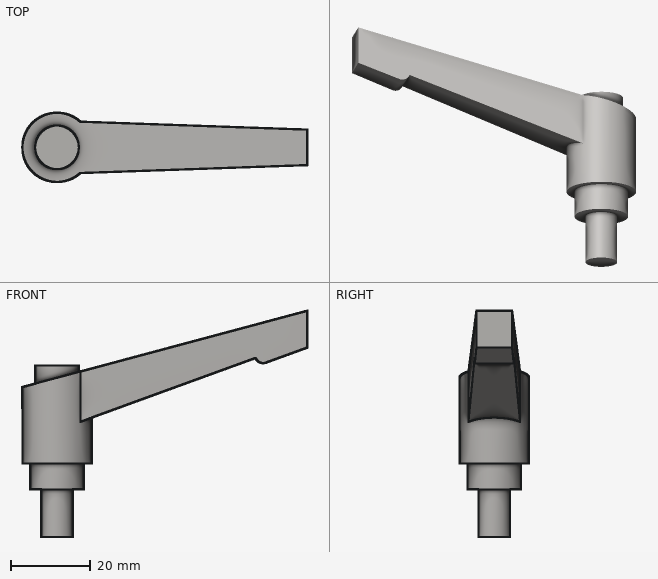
import cadquery as cq
import math

stud_diameter = 8.0
stud_length = 12.0
collar_diameter = 13.5
collar_height = 6.5
hub_diameter = 17.5
button_diameter = 11.0
button_top = 43.2

tip_reach = 63.0
total_height = 57.0
top_angle = math.radians(15)
underside_angle = math.radians(20)
root_half_width = 6.5
tip_half_width = 4.5
root_underside = 29.0

lip_start = 50.0
lip_depth = 2.0

hub_radius = hub_diameter / 2
hub_base = stud_length + collar_height
root_reach = math.sqrt(hub_radius**2 - root_half_width**2)


def top_height(x):
    """Height of the sloping top face shared by the hub and the arm."""
    return total_height - (tip_reach - x) * math.tan(top_angle)


def underside_height(x):
    """Height of the arm's underside ahead of the lip."""
    return root_underside + (x - root_reach) * math.tan(underside_angle)


def disc(diameter, bottom, top):
    """Vertical cylinder on the Z axis."""
    return cq.Workplane("XY").workplane(offset=bottom).circle(diameter / 2).extrude(top - bottom)


def make_hub():
    """Hub cylinder cut off by the sloping top face."""
    below_top = (
        cq.Workplane("XZ")
        .moveTo(-hub_radius, hub_base)
        .lineTo(hub_radius, hub_base)
        .lineTo(hub_radius, top_height(hub_radius))
        .lineTo(-hub_radius, top_height(-hub_radius))
        .close()
        .extrude(hub_radius, both=True)
    )
    return disc(hub_diameter, hub_base, total_height).intersect(below_top)


def make_arm():
    """Arm whose side profile is trimmed by a plan that narrows to the tip."""
    slope_x = math.cos(underside_angle)
    slope_z = math.sin(underside_angle)

    lip_center_x = lip_start + lip_depth * slope_x
    lip_center_z = underside_height(lip_center_x)
    lip_end = (lip_center_x + lip_depth * slope_z, lip_center_z - lip_depth * slope_x)
    middle_angle = underside_angle - math.radians(135)
    lip_middle = (
        lip_center_x + lip_depth * math.cos(middle_angle),
        lip_center_z + lip_depth * math.sin(middle_angle),
    )
    tip_underside = underside_height(tip_reach) - lip_depth / slope_x

    side_profile = (
        cq.Workplane("XZ")
        .moveTo(0, top_height(0))
        .lineTo(0, underside_height(0))
        .lineTo(lip_start, underside_height(lip_start))
        .threePointArc(lip_middle, lip_end)
        .lineTo(tip_reach, tip_underside)
        .lineTo(tip_reach, total_height)
        .close()
        .extrude(hub_radius, both=True)
    )
    plan = (
        cq.Workplane("XY")
        .moveTo(0, -root_half_width)
        .lineTo(root_reach, -root_half_width)
        .lineTo(tip_reach, -tip_half_width)
        .lineTo(tip_reach, tip_half_width)
        .lineTo(root_reach, root_half_width)
        .lineTo(0, root_half_width)
        .close()
        .extrude(total_height)
    )
    return side_profile.intersect(plan)


stud = disc(stud_diameter, 0, stud_length)
collar = disc(collar_diameter, stud_length, hub_base)
button = disc(button_diameter, hub_base, button_top)

result = make_hub().union(make_arm()).union(button).union(collar).union(stud)